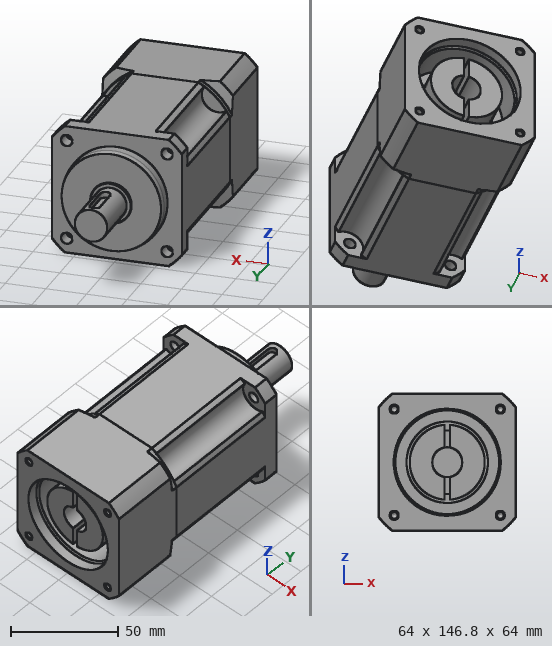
import cadquery as cq
import math


SIDE = 64.0
CORNER_RADIUS = 41.0
WAIST_RADIUS = 36.0
BOLT_CIRCLE = 70.0
CORNERS = [(sx, sz) for sx in (-1, 1) for sz in (-1, 1)]

ADAPTER_LENGTH = 40.0
GEARBOX_LENGTH = 69.5
OUTPUT_PLATE_THICKNESS = 8.0
PLATE_FRONT = ADAPTER_LENGTH + GEARBOX_LENGTH
PLATE_BACK = PLATE_FRONT - OUTPUT_PLATE_THICKNESS

PILOT_DIAMETER = 50.0
PILOT_TIP_DIAMETER = 49.0
PILOT_LENGTH = 8.0
PILOT_TAPER_LENGTH = 3.0
SHOULDER_DIAMETER = 20.0
SHOULDER_LENGTH = 1.3
SHAFT_DIAMETER = 16.0
SHAFT_LENGTH = 28.0
KEYWAY_WIDTH = 5.0
KEYWAY_LENGTH = 20.0
KEYWAY_DEPTH = 3.0
KEYWAY_END_GAP = 2.8
MOUNT_HOLE_DIAMETER = 5.5
SCREW_CHANNEL_RADIUS = 8.0
SCREW_CHANNEL_CIRCLE = 74.0

LIP_LENGTH = 3.0
LIP_CONE_LENGTH = 1.4
RECESS_RADIUS = 25.0
RECESS_DEPTH = 5.5
CAVITY_RADIUS = 24.2
CAVITY_CONE_LENGTH = 1.1
CAVITY_DEPTH = 24.0
THROAT_RADIUS = 19.0
TAP_DIAMETER = 3.3
TAP_MOUTH_DIAMETER = 4.2
TAP_DEPTH = 10.0
TAP_TIP_ANGLE = 118.0

COLLAR_SETBACK = 4.8
COLLAR_RADIUS = 17.5
COLLAR_LENGTH = 16.0
HUB_RADIUS = 14.8
BORE_RADIUS = 7.0
BORE_DEPTH = 28.0
SLOT_WIDTH = 2.4
SLOT_DEPTH = COLLAR_LENGTH + 2.0


def revolve_about_y(profile):
    """Turn a closed profile of (radius, y) points about the Y axis."""
    return cq.Workplane("XY").polyline(profile).close().revolve(360, (0, 0, 0), (0, 1, 0))


def cylinder(radius, y_start, y_end, x=0.0, z=0.0):
    """Solid cylinder parallel to Y."""
    start = cq.Vector(x, y_start, z)
    return cq.Workplane(obj=cq.Solid.makeCylinder(radius, y_end - y_start, start, cq.Vector(0, 1, 0)))


def square_bar(y_start, y_end):
    length = y_end - y_start
    return cq.Workplane("XY").box(SIDE, length, SIDE).translate((0, y_start + length / 2, 0))


def corner_positions(circle_diameter):
    """Four (x, z) points on the diagonals of the square, lying on a circle."""
    offset = circle_diameter / 2 * math.cos(math.radians(45))
    return [(sx * offset, sz * offset) for sx, sz in CORNERS]


def tapped_hole(x, z):
    """Blind tap drilling with a drill-point bottom and a countersunk mouth."""
    radius = TAP_DIAMETER / 2
    mouth = TAP_MOUTH_DIAMETER / 2
    tip = radius / math.tan(math.radians(TAP_TIP_ANGLE / 2))
    profile = [
        (0, 0),
        (mouth, 0),
        (radius, mouth - radius),
        (radius, TAP_DEPTH),
        (0, TAP_DEPTH + tip),
    ]
    return revolve_about_y(profile).translate((x, 0, z))


def keyway():
    """Round-ended cutter for the keyway on the +Z side of the shaft."""
    shaft_tip = PLATE_FRONT + PILOT_LENGTH + SHOULDER_LENGTH + SHAFT_LENGTH
    middle = shaft_tip - KEYWAY_END_GAP - KEYWAY_LENGTH / 2
    floor = SHAFT_DIAMETER / 2 - KEYWAY_DEPTH
    return (
        cq.Workplane("XY", origin=(0, middle, floor))
        .slot2D(KEYWAY_LENGTH, KEYWAY_WIDTH, 90)
        .extrude(SHAFT_DIAMETER / 2)
    )


def make_output_end():
    """Pilot with tapered lead, shoulder and shaft, turned in one profile."""
    pilot_end = PLATE_FRONT + PILOT_LENGTH
    shoulder_end = pilot_end + SHOULDER_LENGTH
    shaft_end = shoulder_end + SHAFT_LENGTH
    profile = [
        (0, PLATE_FRONT),
        (PILOT_DIAMETER / 2, PLATE_FRONT),
        (PILOT_DIAMETER / 2, pilot_end - PILOT_TAPER_LENGTH),
        (PILOT_TIP_DIAMETER / 2, pilot_end),
        (SHOULDER_DIAMETER / 2, pilot_end),
        (SHOULDER_DIAMETER / 2, shoulder_end),
        (SHAFT_DIAMETER / 2, shoulder_end),
        (SHAFT_DIAMETER / 2, shaft_end),
        (0, shaft_end),
    ]
    return revolve_about_y(profile).cut(keyway())


def make_input_hub():
    """Bored hub with a split clamp collar at its free end."""
    collar_end = COLLAR_SETBACK + COLLAR_LENGTH
    hub = cylinder(HUB_RADIUS, collar_end, ADAPTER_LENGTH)
    hub = hub.union(cylinder(COLLAR_RADIUS, COLLAR_SETBACK, collar_end))
    hub = hub.cut(cylinder(BORE_RADIUS, COLLAR_SETBACK, COLLAR_SETBACK + BORE_DEPTH))
    slot = (
        cq.Workplane("XY")
        .box(SLOT_WIDTH, SLOT_DEPTH, 2 * COLLAR_RADIUS)
        .translate((0, COLLAR_SETBACK + SLOT_DEPTH / 2, 0))
    )
    return hub.cut(slot)


def make_gearbox():
    """Gearbox body with output plate, pilot, shaft and input hub."""
    waist = cylinder(WAIST_RADIUS, ADAPTER_LENGTH, PLATE_BACK)
    plate = cylinder(CORNER_RADIUS, PLATE_BACK, PLATE_FRONT)
    body = waist.union(plate).intersect(square_bar(ADAPTER_LENGTH, PLATE_FRONT))
    for x, z in corner_positions(SCREW_CHANNEL_CIRCLE):
        body = body.cut(cylinder(SCREW_CHANNEL_RADIUS, ADAPTER_LENGTH, PLATE_BACK, x, z))
    for x, z in corner_positions(BOLT_CIRCLE):
        body = body.cut(cylinder(MOUNT_HOLE_DIAMETER / 2, PLATE_BACK, PLATE_FRONT, x, z))
    return body.union(make_output_end()).union(make_input_hub())


def make_adapter():
    """Motor adapter: turned outside trimmed square, hollowed around the clamp collar."""
    lip_start = ADAPTER_LENGTH - LIP_LENGTH
    cone_end = RECESS_DEPTH + CAVITY_CONE_LENGTH
    profile = [
        (RECESS_RADIUS, 0),
        (CORNER_RADIUS, 0),
        (CORNER_RADIUS, lip_start - LIP_CONE_LENGTH),
        (WAIST_RADIUS, lip_start),
        (WAIST_RADIUS, ADAPTER_LENGTH),
        (THROAT_RADIUS, ADAPTER_LENGTH),
        (THROAT_RADIUS, CAVITY_DEPTH),
        (CAVITY_RADIUS, CAVITY_DEPTH),
        (CAVITY_RADIUS, cone_end),
        (RECESS_RADIUS, RECESS_DEPTH),
    ]
    body = revolve_about_y(profile).intersect(square_bar(0, ADAPTER_LENGTH))
    for x, z in corner_positions(BOLT_CIRCLE):
        body = body.cut(tapped_hole(x, z))
    return body


gearbox = make_gearbox()
adapter = make_adapter()

result = cq.Compound.makeCompound([gearbox.val(), adapter.val()])